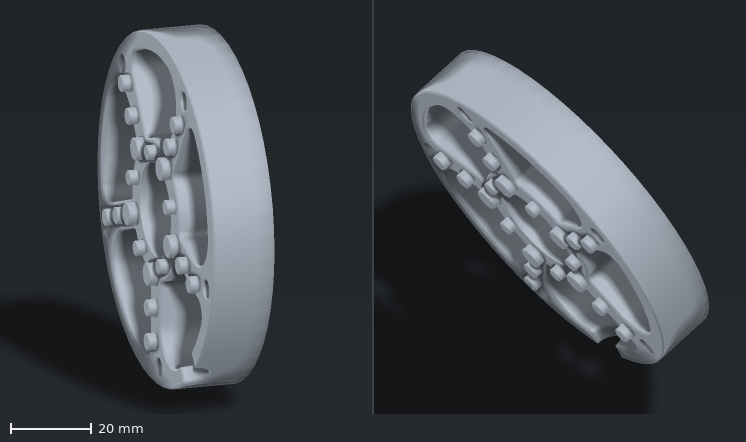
import cadquery as cq
import math

outer_radius = 45.0
body_depth = 16.0
bore_radius = 12.0
hub_radius = 18.0
rim_inner_radius = 40.3
edge_chamfer = 0.4

spoke_count = 5
spoke_pitch = 360.0 / spoke_count
first_spoke_angle = -90.0
spoke_half_width = 3.6

hub_corner_radius = 2.0
wide_corner_radius = 9.0
tight_corner_radius = 4.0

pin_length = 2.4
pin_tip_chamfer = 0.2
hub_pin_diameter = 3.8
hub_pin_circle_radius = 15.0
root_pin_diameter = 5.8
root_pin_circle_radius = 16.5
spoke_pin_diameter = 4.3
spoke_pin_spacing = 8.75
spoke_pins_per_spoke = 2

rim_hole_diameter = 4.5
rim_hole_circle_radius = 40.2
rim_hole_lead_angle = 3.6

notch_radius = 5.0
notch_edge_radius = 1.0
notch_cut_start = hub_radius + spoke_half_width
notch_angle = first_spoke_angle + spoke_pitch / 2


def polar(radius, angle):
    """Point in the XZ plane at an angle in degrees from +X towards +Z."""
    a = math.radians(angle)
    return (radius * math.cos(a), radius * math.sin(a))


def ring_of_points(radius, start_angle):
    """One point per spoke on a circle."""
    return [polar(radius, start_angle + i * spoke_pitch) for i in range(spoke_count)]


def disc(radius, y_start, y_end, centres=((0, 0),)):
    """Cylinders along Y between two depths."""
    plane = cq.Workplane("XZ", origin=(0, y_start, 0))
    return plane.pushPoints(centres).circle(radius).extrude(y_start - y_end)


def corner_tangents(corner_radius, centre_distance, circle_radius):
    """Tangent points and mid-arc point of a corner between a spoke side and a circle.

    Measured along and across the spoke: the spoke's centre line is the first axis, and the
    corner lies on its positive side.
    """
    across = spoke_half_width + corner_radius
    along = math.sqrt(centre_distance**2 - across**2)
    on_spoke = (along, spoke_half_width)
    on_circle = (along * circle_radius / centre_distance, across * circle_radius / centre_distance)
    chord_mid_x = (on_spoke[0] + on_circle[0]) / 2 - along
    chord_mid_y = (on_spoke[1] + on_circle[1]) / 2 - across
    scale = corner_radius / math.hypot(chord_mid_x, chord_mid_y)
    middle = (along + chord_mid_x * scale, across + chord_mid_y * scale)
    return on_spoke, middle, on_circle


def hub_corner():
    return corner_tangents(hub_corner_radius, hub_radius + hub_corner_radius, hub_radius)


def rim_corner(corner_radius):
    return corner_tangents(corner_radius, rim_inner_radius - corner_radius, rim_inner_radius)


def place(points, spoke_angle, side):
    """Move spoke-based points into XZ; side is +1 or -1 for the counterclockwise or clockwise side."""
    return [
        polar(math.hypot(along, across), spoke_angle + side * math.degrees(math.atan2(across, along)))
        for along, across in points
    ]


def window(start_angle):
    """Opening between the spoke at start_angle and the next one counterclockwise."""
    end_angle = start_angle + spoke_pitch
    middle_angle = start_angle + spoke_pitch / 2
    hub_a = place(hub_corner(), start_angle, 1)
    hub_b = place(hub_corner(), end_angle, -1)
    wide = place(rim_corner(wide_corner_radius), start_angle, 1)
    tight = place(rim_corner(tight_corner_radius), end_angle, -1)
    outline = (
        cq.Workplane("XZ")
        .moveTo(*hub_a[0])
        .lineTo(*wide[0])
        .threePointArc(wide[1], wide[2])
        .threePointArc(polar(rim_inner_radius, middle_angle), tight[2])
        .threePointArc(tight[1], tight[0])
        .lineTo(*hub_b[0])
        .threePointArc(hub_b[1], hub_b[2])
        .threePointArc(polar(hub_radius, middle_angle), hub_a[2])
        .threePointArc(hub_a[1], hub_a[0])
        .close()
    )
    return outline.extrude(-body_depth)


def notch_cutter():
    """Cylinder along the radius of the wheel, centred on the front face."""
    direction_x, direction_z = polar(1, notch_angle)
    start_x, start_z = polar(notch_cut_start, notch_angle)
    plane = cq.Plane(
        origin=(start_x, 0, start_z),
        xDir=(0, 1, 0),
        normal=(direction_x, 0, direction_z),
    )
    return cq.Workplane(plane).circle(notch_radius).extrude(outer_radius)


def notch_rim_edges():
    """Selector for the two curved notch edges, on the inside and the outside of the rim."""
    x, z = polar((rim_inner_radius + outer_radius) / 2, notch_angle)
    return cq.selectors.BoxSelector(
        (x - notch_radius, notch_radius / 2, z - notch_radius),
        (x + notch_radius, notch_radius, z + notch_radius),
    )


def wheel():
    """Spoked disc with its notch, rim holes and bore; every front edge but the bore's is chamfered."""
    body = disc(outer_radius, 0, body_depth)
    for i in range(spoke_count):
        body = body.cut(window(first_spoke_angle + i * spoke_pitch))
    rim_holes = ring_of_points(rim_hole_circle_radius, first_spoke_angle + rim_hole_lead_angle)
    body = body.cut(disc(rim_hole_diameter / 2, 0, body_depth, rim_holes))
    body = body.cut(notch_cutter())
    body = body.faces("<Y").edges().chamfer(edge_chamfer)
    body = body.edges(notch_rim_edges()).fillet(notch_edge_radius)
    return body.cut(disc(bore_radius, 0, body_depth))


def add_pins(body, diameter, circle_radius, start_angle):
    """Add one pin with a chamfered tip per spoke, standing on the front face."""
    centres = ring_of_points(circle_radius, start_angle)
    pins = disc(diameter / 2, 0, -pin_length, centres)
    return body.union(pins.faces("<Y").edges().chamfer(pin_tip_chamfer))


result = wheel()
result = add_pins(result, hub_pin_diameter, hub_pin_circle_radius, first_spoke_angle + spoke_pitch / 2)
result = add_pins(result, root_pin_diameter, root_pin_circle_radius, first_spoke_angle)
for pin_index in range(spoke_pins_per_spoke):
    pin_circle_radius = root_pin_circle_radius + (pin_index + 1) * spoke_pin_spacing
    result = add_pins(result, spoke_pin_diameter, pin_circle_radius, first_spoke_angle)